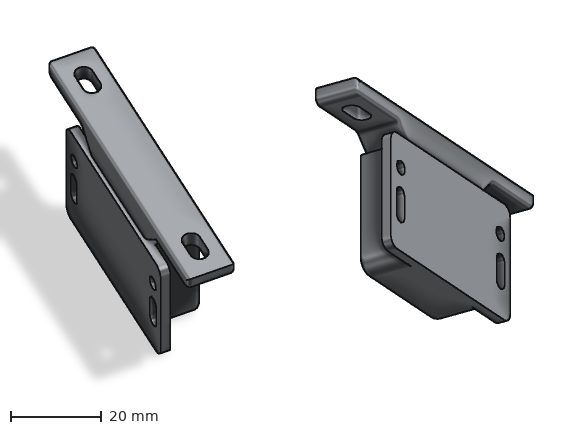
import cadquery as cq


total_depth = 13.7
total_height = 36.5

bar_length = 72.0
bar_thickness = 3.9
keeper_depth = 11.5
keeper_front_y = (total_depth - keeper_depth) / 2
foot_height = 4.3
foot_bottom_width = 29.4
foot_top_width = foot_bottom_width + 2 * foot_height
bar_corner_radius = 2.0
foot_blend_radius = 2.0
keeper_edge_radius = 1.0
bar_slot_length = 8.2
bar_slot_width = 4.2
bar_slot_spacing = 55.0
keeper_top_z = foot_height + bar_thickness

flange_width = 48.45
flange_thickness = 2.4
flange_corner_radius = 2.45
housing_height = total_height - keeper_top_z
box_width = 33.0
box_depth = total_depth - flange_thickness
box_corner_radius = 4.0
box_edge_radius = 1.6

mount_hole_spacing = 40.3
mount_slot_spacing = 40.6
mount_width = 3.25
mount_hole_drop = 7.9
mount_slot_drop = 17.0
mount_slot_length = 8.4


def front_plane(y):
    """XZ plane at depth y; a negative extrusion from it runs backwards, towards +Y."""
    return cq.Workplane("XZ", origin=(0, y, 0))


def make_keeper():
    half_bar = bar_length / 2
    half_foot_top = foot_top_width / 2
    half_foot_bottom = foot_bottom_width / 2
    body = (
        front_plane(keeper_front_y)
        .polyline([
            (-half_bar, keeper_top_z),
            (half_bar, keeper_top_z),
            (half_bar, foot_height),
            (half_foot_top, foot_height),
            (half_foot_bottom, 0),
            (-half_foot_bottom, 0),
            (-half_foot_top, foot_height),
            (-half_bar, foot_height),
        ])
        .close()
        .extrude(-keeper_depth)
    )

    mid_y = total_depth / 2
    for side in (-1, 1):
        bar_corner = cq.selectors.NearestToPointSelector((side * half_bar, mid_y, foot_height))
        body = body.edges(bar_corner).fillet(bar_corner_radius)
        foot_corner = cq.selectors.NearestToPointSelector((side * half_foot_top, mid_y, foot_height))
        body = body.edges(foot_corner).fillet(foot_blend_radius)

    body = body.faces("<Y or >Y").edges("not <Z").fillet(keeper_edge_radius)

    slots = (
        cq.Workplane("XY", origin=(0, mid_y, foot_height))
        .pushPoints([(-bar_slot_spacing / 2, 0), (bar_slot_spacing / 2, 0)])
        .slot2D(bar_slot_length, bar_slot_width)
        .extrude(bar_thickness)
    )
    return body.cut(slots)


def make_flange():
    flange = (
        front_plane(0)
        .center(0, -housing_height / 2)
        .rect(flange_width, housing_height)
        .extrude(-flange_thickness)
        .edges("|Y")
        .fillet(flange_corner_radius)
    )
    for side in (-1, 1):
        hole_x = side * mount_hole_spacing / 2
        hole = front_plane(0).center(hole_x, -mount_hole_drop).circle(mount_width / 2)
        slot_x = side * mount_slot_spacing / 2
        slot = front_plane(0).center(slot_x, -mount_slot_drop).slot2D(mount_slot_length, mount_width, 90)
        flange = flange.cut(hole.extrude(-flange_thickness))
        flange = flange.cut(slot.extrude(-flange_thickness))
    return flange


def make_box():
    box = (
        front_plane(flange_thickness)
        .center(0, -housing_height / 2)
        .rect(box_width, housing_height)
        .extrude(-box_depth)
        .edges("|Y and <Z")
        .fillet(box_corner_radius)
    )
    return box.faces(">Y").edges("not >Z").fillet(box_edge_radius)


keeper = make_keeper()
housing = make_flange().union(make_box())

result = cq.Compound.makeCompound([keeper.val(), housing.val()])